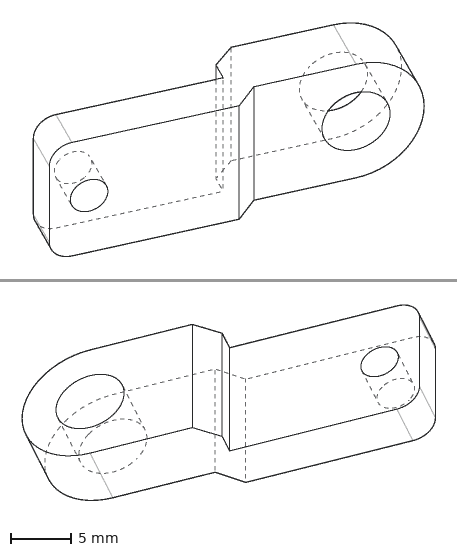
import cadquery as cq

length = 33.7
height = 12.0
width = 7.6

thick_section = 5.63
thin_section = 3.98
step_length = 2.0
hole_to_step = 9.0
chamfer_width = 1.82

corner_radius = 2.0
large_hole_diameter = 6.0
small_hole_diameter = 3.3
small_hole_inset = 3.5

left = -width / 2
right = width / 2
thin_end = -length / 2
round_end = length / 2
end_radius = height / 2
large_hole_y = round_end - end_radius
small_hole_y = thin_end + small_hole_inset
step_start = large_hole_y - hole_to_step
step_end = step_start - step_length


def offset_bar():
    """Bar with a sideways step, extruded along Z."""
    outline = [
        (left, round_end),
        (left + thick_section, round_end),
        (left + thick_section, step_start),
        (right, step_end),
        (right, thin_end),
        (right - thin_section, thin_end),
        (right - thin_section, step_end),
        (left + chamfer_width, step_end),
        (left, step_start),
    ]
    return cq.Workplane("XY").polyline(outline).close().extrude(height / 2, both=True)


def side_outline():
    """Envelope with one full-round end and one end with rounded corners."""
    return (
        cq.Workplane("YZ", origin=(left, 0, 0))
        .moveTo(thin_end, -height / 2)
        .lineTo(large_hole_y, -height / 2)
        .threePointArc((round_end, 0), (large_hole_y, height / 2))
        .lineTo(thin_end, height / 2)
        .close()
        .extrude(width)
        .edges("|X and <Y")
        .fillet(corner_radius)
    )


def cross_hole(y, diameter):
    """Cutter for a hole through the full width along X."""
    return cq.Workplane("YZ", origin=(left, y, 0)).circle(diameter / 2).extrude(width)


result = offset_bar().intersect(side_outline())
for hole_y, hole_diameter in (
    (large_hole_y, large_hole_diameter),
    (small_hole_y, small_hole_diameter),
):
    result = result.cut(cross_hole(hole_y, hole_diameter))